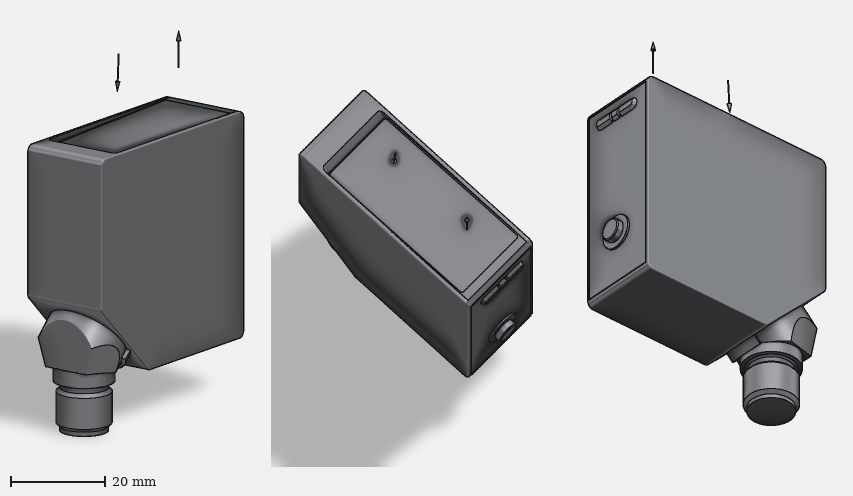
import cadquery as cq
import math


WIDTH = 20.0
HEIGHT = 50.0
REAR_Y = 49.9
SLANT_LEG = 16.5
CORNER_RADIUS = 1.6
SIDE_EDGE_RADIUS = 0.3

RECESS_WIDTH = 18.1
RECESS_FRONT_Y = 5.9
RECESS_WALL_RUN = 1.6
RECESS_FRONT_DEPTH = 1.4
RECESS_REAR_DEPTH = 0.1
RECESS_CORNER_RADIUS = 0.8
WINDOW_WIDTH = 17.4
WINDOW_REAR_MARGIN = 3.1
WINDOW_FRONT_GAP = 0.25
WINDOW_DEPTH = 0.1
WINDOW_CORNER_RADIUS = 0.5

PANEL_THICKNESS = 0.2
PANEL_WIDTH = 18.4
PANEL_MARGIN = 1.6
BUTTON_Z = 14.1
BEZEL_DIAMETER = 8.0
BEZEL_HEIGHT = 0.5
BUTTON_DIAMETER = 5.1
BUTTON_HEIGHT = 2.1
BUTTON_CHAMFER = 0.25
BAR_Z = 44.7
BAR_LENGTH = 12.9
BAR_WIDTH = 2.75
BAR_HEIGHT = 0.8
BAR_TAPER = 38.0
BAR_SLOT_X = 1.2
BAR_SLOT_WIDTH = 0.6

CONNECTOR_Y = 6.85
ELBOW_AXIS_Z = 6.9
ELBOW_DIAMETER = 18.1
ELBOW_REACH = 16.1
EMBED = 0.8
ELBOW_FRONT_Y = 0.2
ELBOW_FLAT_X = 7.3
ELBOW_FLAT_Z = 8.15
FLAT_SPREAD = 0.34
FLAT_FLARE = 0.32
ELBOW_BASE_Z = 1.85
BASE_SLOPE = 0.1
ELBOW_EDGE_RADIUS = 0.25
STOP_DIAMETER = 20.0
STOP_LENGTH = 2.3
STOP_START = -111.5
STOP_END = -23.0
COLLAR_DIAMETER = 13.2
COLLAR_TOP_Z = 1.8
COLLAR_BOTTOM_Z = -1.7
COLLAR_STEP = 0.4
NECK_DIAMETER = 10.4
THREAD_DIAMETER = 12.0
THREAD_TOP_Z = -3.2
THREAD_BOTTOM_Z = -11.7
THREAD_CHAMFER = (THREAD_DIAMETER - NECK_DIAMETER) / 2
STUB_BOTTOM_Z = -12.7

ARROW_SHAFT_DIAMETER = 0.2
ARROW_HEAD_DIAMETER = 1.0
ARROW_HEAD_LENGTH = 2.1
ARROW_LENGTH = 8.1
SENT_ARROW_Y = 39.9
SENT_TIP_Z = 68.0
RETURN_ARROW_Y = 18.5
RETURN_TIP_Z = 59.5
RETURN_TILT = 3.5

BIG = 48.4


def make_block():
    profile = [
        (SLANT_LEG, 0),
        (REAR_Y, 0),
        (REAR_Y, HEIGHT),
        (0, HEIGHT),
        (0, SLANT_LEG),
    ]
    block = cq.Workplane("YZ").polyline(profile).close().extrude(WIDTH / 2, both=True)
    block = block.edges("|X").fillet(CORNER_RADIUS)
    return block.faces("<X or >X").edges().fillet(SIDE_EDGE_RADIUS)


def above_floor(width, start_y, wall_run, depth):
    """Volume above the sloping window plane sunk by depth, behind a front wall of the given run."""
    floor_front_y = RECESS_FRONT_Y + RECESS_WALL_RUN
    fall = (RECESS_FRONT_DEPTH - RECESS_REAR_DEPTH) / (REAR_Y - floor_front_y)

    def floor_z(y):
        return HEIGHT - RECESS_FRONT_DEPTH - depth + fall * (y - floor_front_y)

    foot_y = start_y + wall_run
    wall_height = HEIGHT - floor_z(foot_y)
    profile = [
        (foot_y, floor_z(foot_y)),
        (foot_y + BIG, floor_z(foot_y + BIG)),
        (foot_y + BIG, HEIGHT + wall_height),
        (start_y - wall_run, HEIGHT + wall_height),
    ]
    return cq.Workplane("YZ").polyline(profile).close().extrude(width / 2, both=True)


def make_recess():
    recess = above_floor(RECESS_WIDTH, RECESS_FRONT_Y, RECESS_WALL_RUN, 0)
    return recess.faces("<Y").edges("not |X").fillet(RECESS_CORNER_RADIUS)


def make_window():
    front_y = RECESS_FRONT_Y + RECESS_WALL_RUN + WINDOW_FRONT_GAP
    length = REAR_Y - WINDOW_REAR_MARGIN - front_y
    outline = (
        cq.Workplane("XY")
        .box(WINDOW_WIDTH, length, 2 * BIG, centered=(True, False, True))
        .edges("|Z")
        .fillet(WINDOW_CORNER_RADIUS)
        .translate((0, front_y, HEIGHT))
    )
    return above_floor(WINDOW_WIDTH, front_y, 0, WINDOW_DEPTH).intersect(outline)


def rear_plane(z):
    """Sketch plane on the housing rear at height z, facing +Y."""
    return cq.Workplane(cq.Plane((0, REAR_Y, z), xDir=(-1, 0, 0), normal=(0, 1, 0)))


def make_rear_controls():
    panel = rear_plane(HEIGHT / 2).rect(PANEL_WIDTH, HEIGHT - 2 * PANEL_MARGIN).extrude(PANEL_THICKNESS)
    bezel = rear_plane(BUTTON_Z).circle(BEZEL_DIAMETER / 2).extrude(PANEL_THICKNESS + BEZEL_HEIGHT)
    button = (
        rear_plane(BUTTON_Z)
        .circle(BUTTON_DIAMETER / 2)
        .extrude(PANEL_THICKNESS + BUTTON_HEIGHT)
        .faces(">Y")
        .chamfer(BUTTON_CHAMFER)
    )
    bar = (
        rear_plane(BAR_Z)
        .workplane(offset=PANEL_THICKNESS)
        .slot2D(BAR_LENGTH, BAR_WIDTH)
        .extrude(BAR_HEIGHT, taper=BAR_TAPER)
    )
    slots = (
        rear_plane(BAR_Z)
        .pushPoints([(-BAR_SLOT_X, 0), (BAR_SLOT_X, 0)])
        .rect(BAR_SLOT_WIDTH, BAR_WIDTH)
        .extrude(PANEL_THICKNESS + BAR_HEIGHT)
    )
    return panel.union(bar.cut(slots)).union(bezel).union(button)


def elbow_plane():
    """Plane of the slanted face, centred on the elbow axis and facing down and forward."""
    shift = (SLANT_LEG - CONNECTOR_Y - ELBOW_AXIS_Z) / 2
    centre = (0, CONNECTOR_Y + shift, ELBOW_AXIS_Z + shift)
    return cq.Workplane(cq.Plane(centre, xDir=(1, 0, 0), normal=(0, -1, -1)))


def side_flat_trim():
    """Tapered prism between the two side flats, behind the front flat and above the base."""
    def half_width(y, z):
        return ELBOW_FLAT_X + FLAT_SPREAD * (y - ELBOW_FRONT_Y) + FLAT_FLARE * (z - ELBOW_FLAT_Z)

    def section(z):
        front = half_width(ELBOW_FRONT_Y, z)
        rear = half_width(ELBOW_FRONT_Y + BIG, z)
        points = [
            (-front, ELBOW_FRONT_Y, z),
            (front, ELBOW_FRONT_Y, z),
            (rear, ELBOW_FRONT_Y + BIG, z),
            (-rear, ELBOW_FRONT_Y + BIG, z),
        ]
        return cq.Wire.makePolygon([cq.Vector(*p) for p in points], close=True)

    sections = [section(-ELBOW_FLAT_Z), section(BIG)]
    prism = cq.Workplane(cq.Solid.makeLoft(sections, True))
    base = [
        (ELBOW_FRONT_Y, ELBOW_BASE_Z),
        (ELBOW_FRONT_Y + BIG, ELBOW_BASE_Z - BASE_SLOPE * BIG),
        (ELBOW_FRONT_Y + BIG, BIG),
        (ELBOW_FRONT_Y, BIG),
    ]
    return prism.intersect(cq.Workplane("YZ").polyline(base).close().extrude(BIG, both=True))


def make_elbow():
    barrel = elbow_plane().workplane(offset=-EMBED).circle(ELBOW_DIAMETER / 2).extrude(ELBOW_REACH)
    elbow = barrel.intersect(side_flat_trim())
    return elbow.faces("<Y").edges().fillet(ELBOW_EDGE_RADIUS)


def make_stop():
    """Ring sector around the underside of the elbow that limits its rotation."""
    def rim(angle):
        turn = math.radians(angle)
        return (STOP_DIAMETER / 2 * math.cos(turn), STOP_DIAMETER / 2 * math.sin(turn))

    return (
        elbow_plane()
        .workplane(offset=-EMBED)
        .moveTo(0, 0)
        .lineTo(*rim(STOP_START))
        .threePointArc(rim((STOP_START + STOP_END) / 2), rim(STOP_END))
        .close()
        .extrude(EMBED + STOP_LENGTH)
    )


def make_stub():
    collar = COLLAR_DIAMETER / 2
    neck = NECK_DIAMETER / 2
    thread = THREAD_DIAMETER / 2
    profile = [
        (0, COLLAR_TOP_Z),
        (collar, COLLAR_TOP_Z),
        (collar, COLLAR_BOTTOM_Z),
        (neck + COLLAR_STEP, COLLAR_BOTTOM_Z),
        (neck, COLLAR_BOTTOM_Z - COLLAR_STEP),
        (neck, THREAD_TOP_Z),
        (thread, THREAD_TOP_Z - THREAD_CHAMFER),
        (thread, THREAD_BOTTOM_Z + THREAD_CHAMFER),
        (neck, THREAD_BOTTOM_Z),
        (neck, STUB_BOTTOM_Z),
        (0, STUB_BOTTOM_Z),
    ]
    stub = cq.Workplane("XZ").polyline(profile).close().revolve(360, (0, 0, 0), (0, 1, 0))
    return stub.translate((0, CONNECTOR_Y, 0))


def make_housing():
    housing = make_block().cut(make_recess()).cut(make_window())
    housing = housing.union(make_rear_controls())
    return housing.union(make_elbow()).union(make_stop()).union(make_stub())


def make_arrow():
    """Arrow with its tip at the origin, pointing up."""
    profile = [
        (0, 0),
        (ARROW_HEAD_DIAMETER / 2, -ARROW_HEAD_LENGTH),
        (ARROW_SHAFT_DIAMETER / 2, -ARROW_HEAD_LENGTH),
        (ARROW_SHAFT_DIAMETER / 2, -ARROW_LENGTH),
        (0, -ARROW_LENGTH),
    ]
    return cq.Workplane("XZ").polyline(profile).close().revolve(360, (0, 0, 0), (0, 1, 0))


housing = make_housing()

arrows = []
for tip_y, tip_z, turn in [
    (SENT_ARROW_Y, SENT_TIP_Z, 0),
    (RETURN_ARROW_Y, RETURN_TIP_Z, 180 - RETURN_TILT),
]:
    arrow = make_arrow().rotate((0, 0, 0), (1, 0, 0), turn).translate((0, tip_y, tip_z))
    arrows.append(arrow.val())

result = cq.Compound.makeCompound([housing.val(), *arrows])